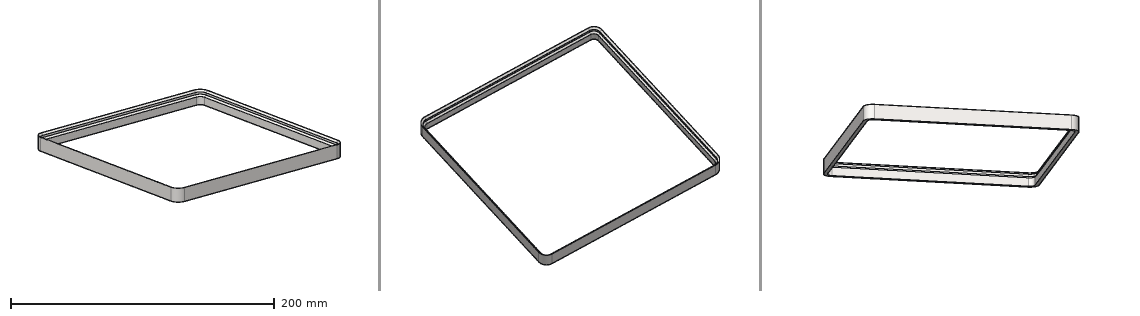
import cadquery as cq

SIDE = 167.0
HEIGHT = 11.45
CORNER_RADIUS = 7.25
WALL = 3.1
UPPER_BEVEL = 1.65
STEP_HEIGHT = 1.8

LOWER_BEVEL = WALL - UPPER_BEVEL
STEP_TOP = HEIGHT - UPPER_BEVEL
STEP_BOTTOM = STEP_TOP - STEP_HEIGHT
INNER_WALL_TOP = STEP_BOTTOM - LOWER_BEVEL

OUTER_FACE = -SIDE / 2
STEP_FACE = OUTER_FACE + UPPER_BEVEL
INNER_FACE = OUTER_FACE + WALL


def outer_outline():
    """Outer bottom outline of the frame: a square with rounded corners."""
    block = cq.Workplane("XY").rect(SIDE, SIDE).extrude(HEIGHT).edges("|Z").fillet(CORNER_RADIUS)
    return block.faces("<Z").wires()


def wall_section():
    """Section through the middle of the -Y wall, stepped and bevelled on its inner side."""
    return (
        cq.Workplane("YZ")
        .moveTo(OUTER_FACE, 0)
        .lineTo(OUTER_FACE, HEIGHT)
        .lineTo(STEP_FACE, STEP_TOP)
        .lineTo(STEP_FACE, STEP_BOTTOM)
        .lineTo(INNER_FACE, INNER_WALL_TOP)
        .lineTo(INNER_FACE, 0)
        .close()
    )


result = wall_section().sweep(outer_outline())